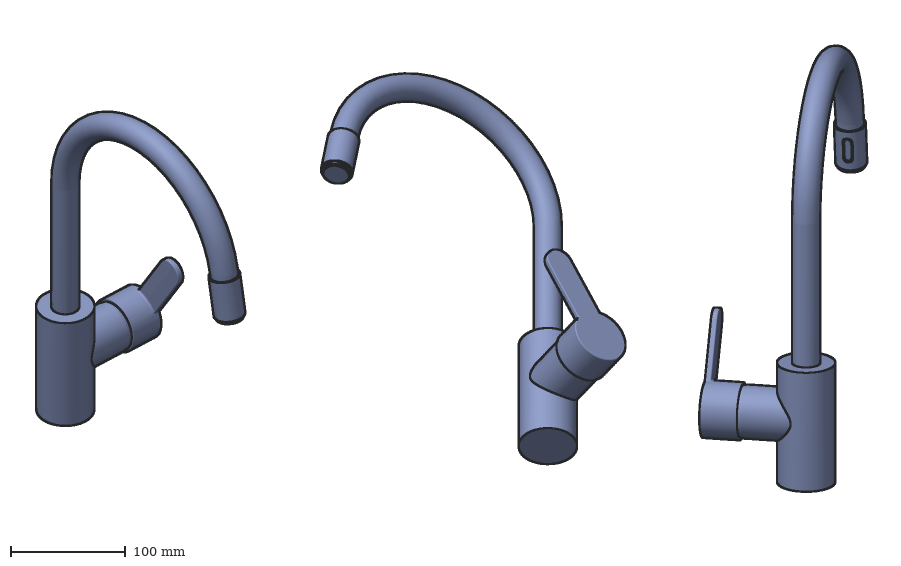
import cadquery as cq
import math

total_height = 359.8

column_diameter = 51.0
column_height = 110.8
neck_diameter = 47.5
neck_height = 61.5
neck_end = 57.2
neck_chamfer_depth = 0.7
neck_chamfer_length = 3.5

cap_diameter = 51.0
cap_end = 90.3
cap_outer_fillet = 1.0
cap_inner_fillet = 0.5
lever_width = 26.0
lever_reach = 77.5
lever_thickness = 6.5
lever_ridge_height = 0.5
lever_edge_fillet = 1.0
lever_root_fillet = 1.8
lever_elevation = 58.0

tube_diameter = 25.0
bend_radius = 104.0
outlet_tilt = 10.0
tube_end_length = 5.0

head_diameter = 28.0
head_length = 39.0
pocket_width = 8.5
pocket_length = 23.7
pocket_distance = 19.0
pocket_depth = 3.0
button_clearance = 1.0
button_recess = 0.7
aerator_diameter = 25.0
aerator_length = 4.0
aerator_edge_chamfer = 1.0

lever_ridge_face = cap_end - lever_thickness
lever_side_face = lever_ridge_face + lever_ridge_height

bend_height = total_height - tube_diameter / 2 - bend_radius
tilt = math.radians(outlet_tilt)
bend_end_x = bend_radius * (1 + math.cos(tilt))
bend_end_z = bend_height + bend_radius * math.sin(tilt)
outlet_direction = cq.Vector(math.sin(tilt), 0, -math.cos(tilt))
bend_end = cq.Vector(bend_end_x, 0, bend_end_z)
head_top = bend_end + outlet_direction * tube_end_length
head_bottom = head_top + outlet_direction * head_length
head_back = cq.Vector(-math.cos(tilt), 0, -math.sin(tilt))


def make_body():
    column = cq.Workplane("XY").circle(column_diameter / 2).extrude(column_height)
    neck = (
        cq.Workplane("XZ", origin=(0, 0, neck_height))
        .circle(neck_diameter / 2)
        .extrude(-neck_end)
        .faces(">Y")
        .chamfer(neck_chamfer_length, neck_chamfer_depth)
    )
    return column.union(neck)


def make_cap():
    cap = cq.Workplane("XZ", origin=(0, cap_end, 0)).circle(cap_diameter / 2).extrude(cap_end - neck_end)
    cap = cap.faces(">Y").edges().fillet(cap_outer_fillet)
    return cap.faces("<Y").edges().fillet(cap_inner_fillet)


def make_lever():
    """A lever along +X that starts inside the cap and ends in a rounded tip."""
    half_width = lever_width / 2
    tip = lever_reach + half_width
    bar = (
        cq.Workplane("YZ")
        .moveTo(cap_end, -half_width)
        .lineTo(lever_side_face, -half_width)
        .lineTo(lever_ridge_face, 0)
        .lineTo(lever_side_face, half_width)
        .lineTo(cap_end, half_width)
        .close()
        .extrude(tip)
    )
    outline = (
        cq.Workplane("XZ", origin=(0, cap_end, 0))
        .moveTo(0, -half_width)
        .lineTo(lever_reach, -half_width)
        .threePointArc((tip, 0), (lever_reach, half_width))
        .lineTo(0, half_width)
        .close()
        .extrude(lever_thickness)
    )
    lever = bar.intersect(outline)
    ridge = cq.selectors.NearestToPointSelector((tip / 2, lever_ridge_face, 0))
    rim = cq.selectors.StringSyntaxSelector("not (|Y or <X)") - ridge
    return lever.edges(rim).fillet(lever_edge_fillet)


def make_handle():
    """The handle is built with its lever along +X, then turned about the cap axis."""
    handle = make_cap().union(make_lever())
    root_box = cq.selectors.BoxSelector(
        (0, lever_ridge_face - lever_ridge_height, -lever_width / 2),
        (cap_diameter / 2, lever_side_face + lever_ridge_height, lever_width / 2),
    )
    handle = handle.edges(root_box).fillet(lever_root_fillet)
    handle = handle.rotate((0, 0, 0), (0, 1, 0), -lever_elevation)
    return handle.translate((0, 0, neck_height))


def make_tube():
    path = (
        cq.Workplane("XZ")
        .moveTo(0, column_height)
        .lineTo(0, bend_height)
        .threePointArc((bend_radius, bend_height + bend_radius), (bend_end_x, bend_end_z))
        .lineTo(head_top.x, head_top.z)
    )
    start = cq.Workplane("XY", origin=(0, 0, column_height))
    return start.circle(tube_diameter / 2).sweep(path)


def pocket_floor():
    """Workplane on the pocket floor, with its normal pointing out of the head."""
    centre = head_top + outlet_direction * pocket_distance
    origin = centre + head_back * (head_diameter / 2 - pocket_depth)
    return cq.Workplane(cq.Plane(origin=origin, xDir=outlet_direction, normal=head_back))


def make_head():
    plane = cq.Plane(origin=head_top, xDir=(0, 1, 0), normal=outlet_direction)
    head = cq.Workplane(plane).circle(head_diameter / 2).extrude(head_length)
    pocket = pocket_floor().slot2D(pocket_length, pocket_width).extrude(pocket_depth)
    return head.cut(pocket)


def make_button():
    length = pocket_length - 2 * button_clearance
    width = pocket_width - 2 * button_clearance
    return pocket_floor().slot2D(length, width).extrude(pocket_depth - button_recess)


def make_aerator():
    plane = cq.Plane(origin=head_bottom, xDir=(0, 1, 0), normal=outlet_direction)
    aerator = cq.Workplane(plane).circle(aerator_diameter / 2).extrude(aerator_length)
    bottom_face = cq.selectors.DirectionMinMaxSelector(outlet_direction)
    return aerator.faces(bottom_face).chamfer(aerator_edge_chamfer)


body = make_body()
handle = make_handle()
tube = make_tube()
head = make_head()
button = make_button()
aerator = make_aerator()

result = cq.Compound.makeCompound(
    [body.val(), handle.val(), tube.val(), head.val(), button.val(), aerator.val()]
)